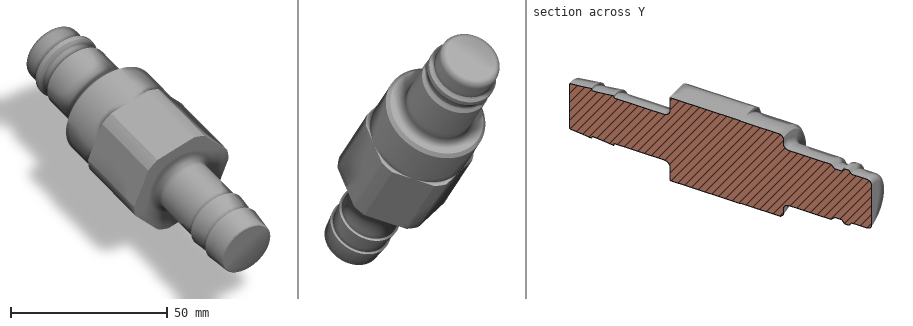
import cadquery as cq
import math

total_length = 109.0
ring_start = 7.3
ring_end = 10.9
shank_start = 13.4
collar_start = 31.8
collar_seam = 36.0
hex_start = 47.2
hex_end = 72.8
barb_starts = (92.9, 100.8)

tip_dia = 20.3
ring_dia = 22.9
shank_dia = 22.9
collar_dia = 34.0
neck_dia = 19.0
barb_dia = 20.7

tip_fillet = 2.1
ring_bevel_length = 1.0
shank_chamfer = 1.3
shoulder_fillet = 2.0
collar_chamfer = 1.1
neck_fillet = 2.2
end_chamfer = 0.3

across_flats = 34.0
corner_dia = 37.0
hex_tilt = 7.4


def cylinder(start, end, diameter):
    """Solid cylinder on the X axis between two stations."""
    return cq.Workplane("YZ", origin=(start, 0, 0)).circle(diameter / 2).extrude(end - start)


def revolve_profile(points):
    """Turn a closed outline of (station, radius) points about the X axis."""
    return cq.Workplane("XY").polyline(points).close().revolve(360, (0, 0, 0), (1, 0, 0))


def shoulder_flare(start, wall, radius, fillet):
    """Concave fillet ring that joins a cylinder to a flat wall at either of its ends."""
    blend = math.copysign(fillet, wall - start)
    middle = fillet * math.sqrt(0.5)
    return (
        cq.Workplane("XY")
        .moveTo(start, 0)
        .lineTo(start, radius)
        .threePointArc(
            (start + math.copysign(middle, blend), radius + fillet - middle),
            (wall, radius + fillet),
        )
        .lineTo(wall, 0)
        .close()
        .revolve(360, (0, 0, 0), (1, 0, 0))
    )


def make_plug():
    """Plug nose with its bevelled ring, the shank and the collar."""
    tip = cylinder(0, shank_start, tip_dia).faces("<X").edges().fillet(tip_fillet)
    ring = revolve_profile([
        (ring_start, 0),
        (ring_start, tip_dia / 2),
        (ring_start + ring_bevel_length, ring_dia / 2),
        (ring_end - ring_bevel_length, ring_dia / 2),
        (ring_end, tip_dia / 2),
        (ring_end, 0),
    ])
    shank = cylinder(shank_start, collar_start, shank_dia).faces("<X").chamfer(shank_chamfer)
    flare = shoulder_flare(collar_start - shoulder_fillet, collar_start, shank_dia / 2, shoulder_fillet)
    front_collar = cylinder(collar_start, collar_seam, collar_dia).faces("<X").chamfer(collar_chamfer)
    rear_collar = cylinder(collar_seam, hex_start, collar_dia)
    return tip.union(ring).union(shank).union(flare).union(front_collar).union(rear_collar, clean=False)


def make_hexagon():
    """Tilted hexagon whose corners are turned down to a cylinder."""
    corner_to_corner = across_flats / math.cos(math.pi / 6)
    prism = (
        cq.Workplane("YZ", origin=(hex_start, 0, 0))
        .polygon(6, corner_to_corner)
        .extrude(hex_end - hex_start)
        .rotate((0, 0, 0), (1, 0, 0), hex_tilt)
    )
    return prism.intersect(cylinder(hex_start, hex_end, corner_dia))


def make_hose_tail():
    """Hose tail with a flared root and tapered barbs."""
    tail = cylinder(hex_end, total_length, neck_dia).faces(">X").chamfer(end_chamfer)
    tail = tail.union(shoulder_flare(hex_end + neck_fillet, hex_end, neck_dia / 2, neck_fillet))
    barb_ends = barb_starts[1:] + (total_length - end_chamfer,)
    for start, end in zip(barb_starts, barb_ends):
        barb = revolve_profile([(start, 0), (start, barb_dia / 2), (end, neck_dia / 2), (end, 0)])
        tail = tail.union(barb)
    return tail


result = make_plug().union(make_hexagon(), clean=False).union(make_hose_tail(), clean=False)